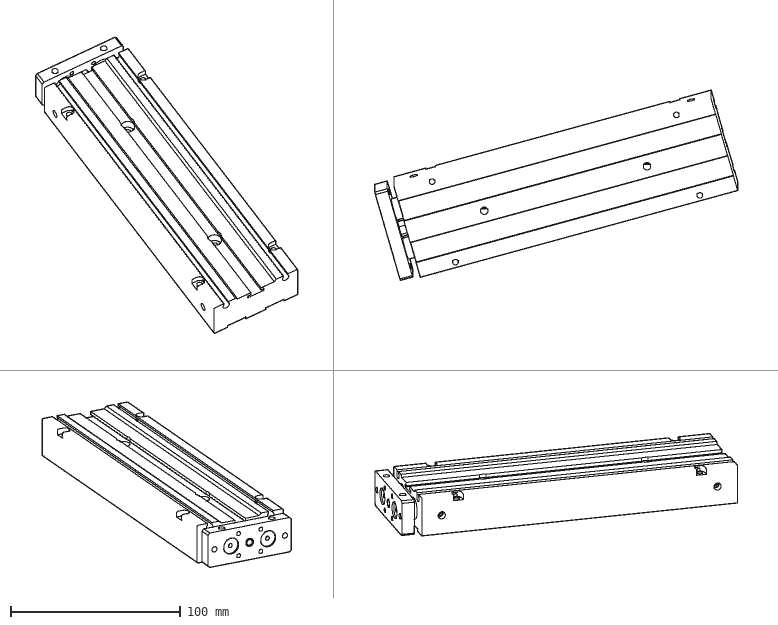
import cadquery as cq

TOTAL_LENGTH = 207.0
CUT_MARGIN = 2.0

HOUSING_FRONT = 12.0
HOUSING_LENGTH = TOTAL_LENGTH - HOUSING_FRONT
HOUSING_WIDTH = 58.0
HOUSING_HEIGHT = 24.0
HOUSING_TOP = HOUSING_HEIGHT / 2
HOUSING_SIDE = HOUSING_WIDTH / 2
HOUSING_EDGE_RADIUS = 1.0

RECESS_TOP_HALF_WIDTH = 14.0
RECESS_DEPTH = 1.5
T_SLOT_MOUTH_HALF_WIDTH = 3.5
T_SLOT_LIP_THICKNESS = 2.0
T_SLOT_HALF_WIDTH = 5.5
T_SLOT_DEPTH = 3.5

GROOVE_DIAMETER = 4.3
GROOVE_MOUTH_WIDTH = 3.1
GROOVE_Y = 20.5
GROOVE_AXIS_DEPTH = 2.7

CHANNEL_INNER_Y = 6.8
CHANNEL_OUTER_Y = 19.5
CHANNEL_DEPTH = 1.5

EDGE_HOLE_START_X = 34.5
EDGE_HOLE_PITCH = 150.0
EDGE_HOLE_Y = 25.5
EDGE_HOLE_DIAMETER = 3.3
POCKET_WIDTH = 6.0
POCKET_DEPTH = 3.5

CENTRE_HOLE_START_X = 59.5
CENTRE_HOLE_PITCH = 100.0
CENTRE_HOLE_DIAMETER = 4.3
COUNTERBORE_DIAMETER = 8.0
COUNTERBORE_DEPTH = 10.4

PORT_XS = (24.2, 194.5)
PORT_DIAMETER = 4.3
PORT_DEPTH = 4.1
PORT_BORE_DIAMETER = 3.3
PORT_BORE_DEPTH = 6.2

PLATE_THICKNESS = 7.7
ROD_EXPOSED_LENGTH = HOUSING_FRONT - PLATE_THICKNESS
PLATE_WIDTH = 55.9
PLATE_HEIGHT = 22.0
PLATE_CHAMFER = 1.2
ROD_Y = 12.5
ROD_DIAMETER = 13.0
ROD_SEAT_DIAMETER = 10.0
ROD_SEAT_DEPTH = 1.0
ROD_CENTRE_HOLE_DIAMETER = 2.5
ROD_CENTRE_HOLE_DEPTH = 4.1
STUD_HOLE_DIAMETER = 5.0
STUD_HOLE_DEPTH = 0.8
STUD_DIAMETER = 3.7
OUTER_HOLE_Y = 23.5
OUTER_HOLE_DIAMETER = 3.3
SMALL_HOLE_Y = 7.5
SMALL_HOLE_Z = 7.0
SMALL_HOLE_DIAMETER = 2.5
PLATE_TOP_HOLE_Y = 16.8
PLATE_TOP_HOLE_DIAMETER = 3.7
PLATE_TOP_HOLE_DEPTH = 6.2

NUT_ACROSS_CORNERS = 9.5
NUT_THICKNESS = 3.7
PISTON_ROD_DIAMETER = 5.0


def box(x_range, y_range, z_range):
    """Box given by its (low, high) limits along each axis."""
    lows, highs = zip(x_range, y_range, z_range)
    sizes = [high - low for low, high in zip(lows, highs)]
    return cq.Workplane("XY").box(*sizes, centered=False).translate(lows)


def cylinder_x(diameter, x_start, length, y=0.0, z=0.0):
    """Cylinder along +X."""
    return cq.Workplane("YZ", origin=(x_start, y, z)).circle(diameter / 2).extrude(length)


def cylinder_down(diameter, x, y, z_top, depth):
    """Cylinder along -Z, from z_top downwards."""
    return cq.Workplane("XY", origin=(x, y, z_top)).circle(diameter / 2).extrude(-depth)


def housing_blank():
    """Plain bar with its long edges rounded."""
    return (
        cq.Workplane("YZ", origin=(HOUSING_FRONT, 0, 0))
        .rect(HOUSING_WIDTH, HOUSING_HEIGHT)
        .extrude(HOUSING_LENGTH)
        .edges("|X")
        .fillet(HOUSING_EDGE_RADIUS)
    )


def top_recess():
    """Wide channel with 45-degree walls and the T-slot in its floor."""
    floor_z = HOUSING_TOP - RECESS_DEPTH
    lip_z = floor_z - T_SLOT_LIP_THICKNESS
    slot_z = floor_z - T_SLOT_DEPTH
    floor_half_width = RECESS_TOP_HALF_WIDTH - RECESS_DEPTH
    half_outline = [
        (RECESS_TOP_HALF_WIDTH, HOUSING_TOP),
        (floor_half_width, floor_z),
        (T_SLOT_MOUTH_HALF_WIDTH, floor_z),
        (T_SLOT_MOUTH_HALF_WIDTH, lip_z),
        (T_SLOT_HALF_WIDTH, lip_z),
        (T_SLOT_HALF_WIDTH, slot_z),
    ]
    mirrored_half = [(-y, z) for y, z in reversed(half_outline)]
    return (
        cq.Workplane("YZ", origin=(HOUSING_FRONT, 0, 0))
        .polyline(half_outline + mirrored_half)
        .close()
        .extrude(HOUSING_LENGTH)
    )


def sensor_groove(side):
    groove_y = side * GROOVE_Y
    axis_z = HOUSING_TOP - GROOVE_AXIS_DEPTH
    bore = cylinder_x(GROOVE_DIAMETER, HOUSING_FRONT, HOUSING_LENGTH, groove_y, axis_z)
    mouth = box(
        (HOUSING_FRONT, TOTAL_LENGTH),
        (groove_y - GROOVE_MOUTH_WIDTH / 2, groove_y + GROOVE_MOUTH_WIDTH / 2),
        (axis_z, HOUSING_TOP),
    )
    return bore.union(mouth)


def underside_channel(side):
    y_range = sorted((side * CHANNEL_INNER_Y, side * CHANNEL_OUTER_Y))
    z_range = (-HOUSING_TOP, -HOUSING_TOP + CHANNEL_DEPTH)
    return box((HOUSING_FRONT, TOTAL_LENGTH), y_range, z_range)


def edge_mounting_hole(x, side):
    """Through hole with its U-shaped pocket, open towards the given side."""
    hole_y = side * EDGE_HOLE_Y
    through = cylinder_down(EDGE_HOLE_DIAMETER, x, hole_y, HOUSING_TOP, HOUSING_HEIGHT)
    pocket_end = cylinder_down(POCKET_WIDTH, x, hole_y, HOUSING_TOP, POCKET_DEPTH)
    pocket_mouth = box(
        (x - POCKET_WIDTH / 2, x + POCKET_WIDTH / 2),
        sorted((hole_y, side * (HOUSING_SIDE + CUT_MARGIN))),
        (HOUSING_TOP - POCKET_DEPTH, HOUSING_TOP),
    )
    return through.union(pocket_end).union(pocket_mouth)


def centre_hole(x):
    through = cylinder_down(CENTRE_HOLE_DIAMETER, x, 0, HOUSING_TOP, HOUSING_HEIGHT)
    counterbore = cylinder_down(COUNTERBORE_DIAMETER, x, 0, HOUSING_TOP, COUNTERBORE_DEPTH)
    return through.union(counterbore)


def port(x):
    face = cq.Workplane("XZ", origin=(x, -HOUSING_SIDE, 0))
    mouth = face.circle(PORT_DIAMETER / 2).extrude(-PORT_DEPTH)
    bore = face.circle(PORT_BORE_DIAMETER / 2).extrude(-PORT_BORE_DEPTH)
    return mouth.union(bore)


def make_housing():
    body = housing_blank().cut(top_recess())
    for side in (-1, 1):
        body = body.cut(sensor_groove(side)).cut(underside_channel(side))
        for x in (EDGE_HOLE_START_X, EDGE_HOLE_START_X + EDGE_HOLE_PITCH):
            body = body.cut(edge_mounting_hole(x, side))
    for x in (CENTRE_HOLE_START_X, CENTRE_HOLE_START_X + CENTRE_HOLE_PITCH):
        body = body.cut(centre_hole(x))
    for x in PORT_XS:
        body = body.cut(port(x))
    return body


def plate_blank():
    """End plate with the edges along X chamfered."""
    return (
        cq.Workplane("YZ")
        .rect(PLATE_WIDTH, PLATE_HEIGHT)
        .extrude(PLATE_THICKNESS)
        .edges("|X")
        .chamfer(PLATE_CHAMFER)
    )


def piston_rod_and_nut():
    rod = cylinder_x(PISTON_ROD_DIAMETER, PLATE_THICKNESS, ROD_EXPOSED_LENGTH)
    nut = cq.Workplane("YZ", origin=(PLATE_THICKNESS, 0, 0)).polygon(6, NUT_ACROSS_CORNERS)
    return rod.union(nut.extrude(NUT_THICKNESS))


def rod_end_recess(y):
    """Shallow seat in the plate's outer face with a deeper hole at its centre."""
    seat = cylinder_x(ROD_SEAT_DIAMETER, 0, ROD_SEAT_DEPTH, y)
    return seat.union(cylinder_x(ROD_CENTRE_HOLE_DIAMETER, 0, ROD_CENTRE_HOLE_DEPTH, y))


def stud_recess():
    """Ring-shaped recess around the end of the piston stud."""
    hole = cylinder_x(STUD_HOLE_DIAMETER, 0, STUD_HOLE_DEPTH)
    return hole.cut(cylinder_x(STUD_DIAMETER, 0, STUD_HOLE_DEPTH))


def make_carriage():
    """End plate with the two guide rods, the piston rod and its nut."""
    body = plate_blank().union(piston_rod_and_nut()).cut(stud_recess())
    for side in (-1, 1):
        body = body.union(cylinder_x(ROD_DIAMETER, PLATE_THICKNESS, ROD_EXPOSED_LENGTH, side * ROD_Y))
        body = body.cut(rod_end_recess(side * ROD_Y))
        body = body.cut(cylinder_x(OUTER_HOLE_DIAMETER, 0, PLATE_THICKNESS, side * OUTER_HOLE_Y))
        for z in (-SMALL_HOLE_Z, SMALL_HOLE_Z):
            body = body.cut(cylinder_x(SMALL_HOLE_DIAMETER, 0, PLATE_THICKNESS, side * SMALL_HOLE_Y, z))
        top_hole = cylinder_down(
            PLATE_TOP_HOLE_DIAMETER,
            PLATE_THICKNESS / 2,
            side * PLATE_TOP_HOLE_Y,
            PLATE_HEIGHT / 2,
            PLATE_TOP_HOLE_DEPTH,
        )
        body = body.cut(top_hole)
    return body


housing = make_housing()
carriage = make_carriage()

result = cq.Compound.makeCompound([housing.val(), carriage.val()])